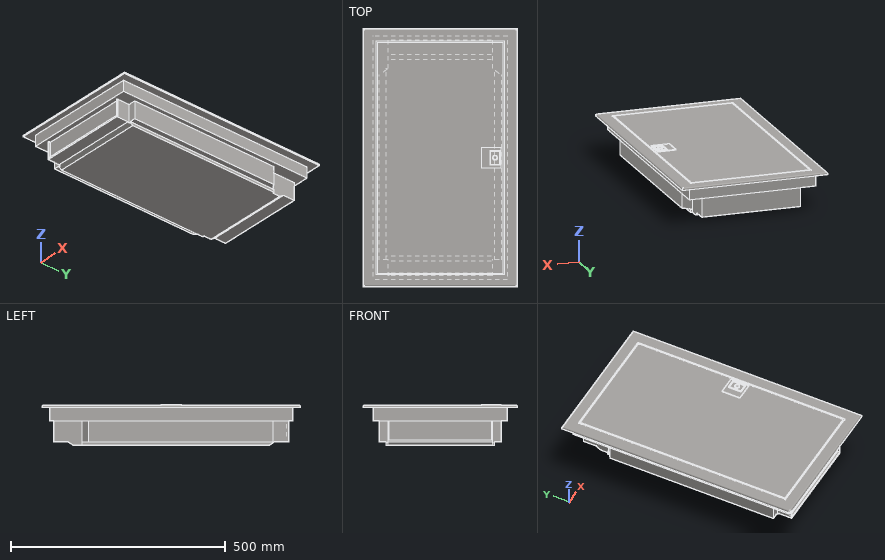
import cadquery as cq

length = 602.0
width = 360.0
total_height = 96.0
plate_thickness = 2.0
frame_thickness = 6.0
collar_height = 31.0
frame_top = total_height - plate_thickness
frame_bottom = frame_top - frame_thickness
collar_bottom = frame_bottom - collar_height

frame_edge_radius = 4.0
frame_border_x = 31.0
frame_border_y = 29.0
opening_width = width - 2 * frame_border_x
opening_length = length - 2 * frame_border_y
door_clearance = 3.0

collar_width = 313.0
collar_length = 567.0

tray_length = 548.0
tray_end_width = 244.5
tray_width = 285.5
widening_start_y = 207.5
widening_end_y = 192.5
shoulder_y = -236.5
tray_bottom = 8.0

base_length = 480.5
base_end_width = tray_end_width
base_width = 253.0
base_slope_run = 11.5

recess_depth = 5.5
recess_side_rim = 2.5
recess_bottom_rim = 4.0

latch_plate_width = 46.0
latch_plate_length = 47.0
latch_plate_right_x = 142.0
handle_pocket_width = 24.0
handle_pocket_length = 34.0
handle_pocket_right_x = 139.5
handle_clearance = 2.0
latch_plate_x = latch_plate_right_x - latch_plate_width / 2
handle_x = handle_pocket_right_x - handle_pocket_width / 2
lock_diameter = 11.5
lock_dimple_diameter = 9.0
lock_dimple_depth = 1.5


def block(size_x, size_y, bottom, top, center_x=0):
    """Make an upright block centred on the X axis."""
    return (
        cq.Workplane("XY", origin=(center_x, 0, bottom))
        .rect(size_x, size_y)
        .extrude(top - bottom)
    )


def make_frame():
    """Flat border with a rounded upper outer edge, open in the middle for the door."""
    border = block(width, length, frame_bottom, frame_top).faces(">Z").edges().fillet(frame_edge_radius)
    return border.cut(block(opening_width, opening_length, frame_bottom, frame_top))


def make_door():
    """Door panel, flush with the frame and clear of it all round."""
    door_width = opening_width - 2 * door_clearance
    door_length = opening_length - 2 * door_clearance
    return block(door_width, door_length, frame_bottom, frame_top)


def make_collar():
    """Rectangular block between the frame and the tray."""
    return block(collar_width, collar_length, collar_bottom, frame_bottom)


def make_tray_walls():
    """Tray wide in the middle, tapering in at the back and stepping in at the front."""
    end_x = tray_end_width / 2
    wide_x = tray_width / 2
    end_y = tray_length / 2
    right_side = [
        (end_x, -end_y),
        (end_x, shoulder_y),
        (wide_x, shoulder_y),
        (wide_x, widening_end_y),
        (end_x, widening_start_y),
        (end_x, end_y),
    ]
    left_side = [(-x, y) for x, y in reversed(right_side)]
    return (
        cq.Workplane("XY", origin=(0, 0, tray_bottom))
        .polyline(right_side + left_side)
        .close()
        .extrude(collar_bottom - tray_bottom)
    )


def make_tray_base():
    """Shallow base with ends sloping inwards going down, slightly wider under the wide part of the tray."""
    half_length = base_length / 2
    profile = [
        (-half_length, tray_bottom),
        (-half_length + base_slope_run, 0),
        (half_length - base_slope_run, 0),
        (half_length, tray_bottom),
    ]
    wedge = cq.Workplane("YZ").polyline(profile).close().extrude(base_width / 2, both=True)
    wide_length = widening_start_y - shoulder_y
    wide_center_y = (widening_start_y + shoulder_y) / 2
    narrow_part = block(base_end_width, base_length, 0, tray_bottom)
    wide_part = block(base_width, wide_length, 0, tray_bottom).translate((0, wide_center_y, 0))
    return wedge.intersect(narrow_part.union(wide_part))


def make_front_recess():
    """Shallow recess in the front end, leaving thin side rims and a bottom lip."""
    return block(
        tray_end_width - 2 * recess_side_rim,
        2 * recess_depth,
        tray_bottom + recess_bottom_rim,
        collar_bottom,
    ).translate((0, -tray_length / 2, 0))


def make_tray():
    return make_tray_walls().union(make_tray_base()).cut(make_front_recess())


def make_latch_plate():
    """Thin plate on the door with a rectangular pocket for the handle."""
    plate = block(latch_plate_width, latch_plate_length, frame_top, total_height, latch_plate_x)
    pocket = block(handle_pocket_width, handle_pocket_length, frame_top, total_height, handle_x)
    return plate.cut(pocket)


def make_handle():
    """Latch handle lying in the plate's pocket, bored for the lock."""
    handle_width = handle_pocket_width - 2 * handle_clearance
    handle_length = handle_pocket_length - 2 * handle_clearance
    handle = block(handle_width, handle_length, frame_top, total_height, handle_x)
    return handle.faces(">Z").workplane(origin=(handle_x, 0, total_height)).hole(lock_diameter)


def make_lock():
    """Round lock barrel that fills the handle's bore, with a conical dimple on top."""
    barrel = (
        cq.Workplane("XY", origin=(handle_x, 0, frame_top))
        .circle(lock_diameter / 2)
        .extrude(plate_thickness)
    )
    dimple = cq.Solid.makeCone(
        0,
        lock_dimple_diameter / 2,
        lock_dimple_depth,
        pnt=cq.Vector(handle_x, 0, total_height - lock_dimple_depth),
    )
    return barrel.cut(cq.Workplane(dimple))


frame = make_frame()
door = make_door()
collar = make_collar()
tray = make_tray()
latch_plate = make_latch_plate()
handle = make_handle()
lock = make_lock()

result = cq.Compound.makeCompound([
    frame.val(),
    door.val(),
    collar.val(),
    tray.val(),
    latch_plate.val(),
    handle.val(),
    lock.val(),
])